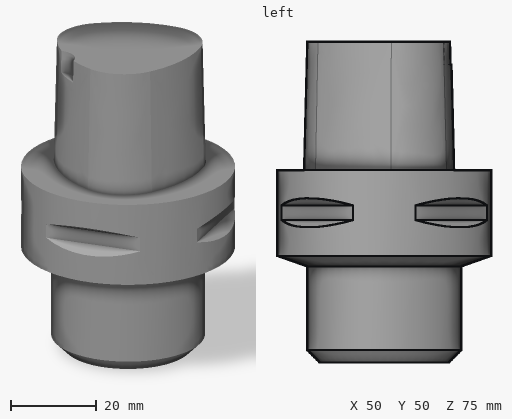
import cadquery as cq
import math

TOTAL_HEIGHT = 75.0
FLANGE_TOP = 45.0
FLANGE_BOTTOM = 25.0
SHANK_TOP = 22.5

FLANGE_RADIUS = 50.0 / 2
SHANK_RADIUS = 36.0 / 2
CHAMFER_WIDTH = 3.0
CHAMFER_HEIGHT = 3.0

LOBE_REACH = 18.75
SIDE_REACH = 16.35
LOBE_RADIUS = 11.8
LOBE_COUNT = 3
TAPER_ANGLE = math.degrees(math.atan(1 / 40))

NOTCH_RADIUS = 5.0
NOTCH_INNER_REACH = 13.95
NOTCH_DEPTH = 5.4

GROOVE_COUNT = 4
GROOVE_Z = 35.0
GROOVE_FLOOR_REACH = 22.05
GROOVE_FLOOR_HEIGHT = 3.4
GROOVE_WALL_ANGLE = 30.0
GROOVE_CLEARANCE = 1.5


def polar(radius, degrees):
    angle = math.radians(degrees)
    return radius * math.cos(angle), radius * math.sin(angle)


def make_body():
    """Shank, conical shoulder and flange as one turned profile."""
    return (
        cq.Workplane("XZ")
        .moveTo(0, 0)
        .lineTo(SHANK_RADIUS - CHAMFER_WIDTH, 0)
        .lineTo(SHANK_RADIUS, CHAMFER_HEIGHT)
        .lineTo(SHANK_RADIUS, SHANK_TOP)
        .lineTo(FLANGE_RADIUS, FLANGE_BOTTOM)
        .lineTo(FLANGE_RADIUS, FLANGE_TOP)
        .lineTo(0, FLANGE_TOP)
        .close()
        .revolve(360, (0, 0), (0, 1))
    )


def make_cone():
    """Taper bounded by three lobe arcs and three tangent side arcs."""
    lobe_offset = LOBE_REACH - LOBE_RADIUS
    reach_gap = LOBE_REACH - SIDE_REACH
    side_offset = reach_gap * (2 * lobe_offset - reach_gap) / (lobe_offset - 2 * reach_gap)

    lower_tip = -30
    lobe_x, lobe_y = polar(lobe_offset, lower_tip)
    lean = math.atan2(lobe_y - side_offset, lobe_x)
    joint_x = lobe_x + LOBE_RADIUS * math.cos(lean)
    joint_y = lobe_y + LOBE_RADIUS * math.sin(lean)
    joint_reach = math.hypot(joint_x, joint_y)
    joint_angle = math.degrees(math.atan2(joint_y, joint_x))
    joint_spread = joint_angle - lower_tip

    first_tip = 90
    lobe_step = 360 / LOBE_COUNT
    outline = cq.Workplane("XY").workplane(offset=FLANGE_TOP)
    outline = outline.moveTo(*polar(joint_reach, first_tip + joint_spread))
    for index in range(LOBE_COUNT):
        tip = first_tip + index * lobe_step
        outline = outline.threePointArc(polar(LOBE_REACH, tip), polar(joint_reach, tip - joint_spread))
        outline = outline.threePointArc(
            polar(SIDE_REACH, tip + lobe_step / 2), polar(joint_reach, tip + lobe_step + joint_spread)
        )
    return outline.close().extrude(TOTAL_HEIGHT - FLANGE_TOP, taper=TAPER_ANGLE)


def make_notch():
    return (
        cq.Workplane("XY")
        .workplane(offset=TOTAL_HEIGHT - NOTCH_DEPTH)
        .center(0, -NOTCH_INNER_REACH - NOTCH_RADIUS)
        .circle(NOTCH_RADIUS)
        .extrude(NOTCH_DEPTH)
    )


def make_groove():
    """Straight groove on the +X side, opening outwards from a flat floor."""
    outer_reach = FLANGE_RADIUS + GROOVE_CLEARANCE
    floor_half = GROOVE_FLOOR_HEIGHT / 2
    flare = (outer_reach - GROOVE_FLOOR_REACH) * math.tan(math.radians(GROOVE_WALL_ANGLE))
    return (
        cq.Workplane("XZ")
        .moveTo(GROOVE_FLOOR_REACH, GROOVE_Z - floor_half)
        .lineTo(outer_reach, GROOVE_Z - floor_half - flare)
        .lineTo(outer_reach, GROOVE_Z + floor_half + flare)
        .lineTo(GROOVE_FLOOR_REACH, GROOVE_Z + floor_half)
        .close()
        .extrude(FLANGE_RADIUS, both=True)
    )


result = make_body().union(make_cone()).cut(make_notch())

groove_step = 360 / GROOVE_COUNT
for index in range(GROOVE_COUNT):
    groove_angle = (index + 0.5) * groove_step
    result = result.cut(make_groove().rotate((0, 0, 0), (0, 0, 1), groove_angle))